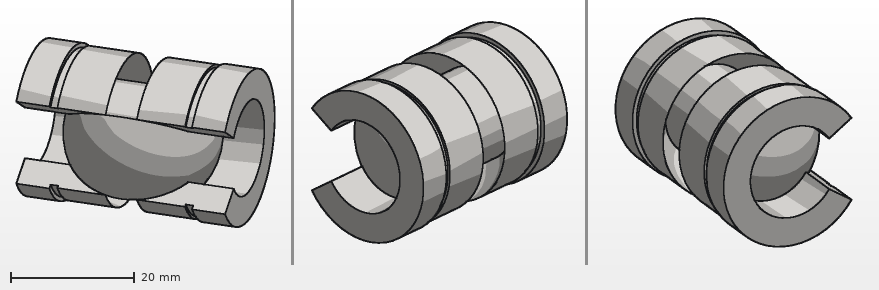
import cadquery as cq
import math

length = 36.0
outer_diameter = 26.0
bore_diameter = 16.0
ball_diameter = outer_diameter

end_band_length = 5.7
groove_width = 1.3
groove_diameter = 24.5
inner_band_diameter = 25.4

gap_width = 5.4

window_half_angle = 34.0

half_length = length / 2
half_gap = gap_width / 2
outer_radius = outer_diameter / 2
bore_radius = bore_diameter / 2
ball_radius = ball_diameter / 2
groove_radius = groove_diameter / 2
inner_band_radius = inner_band_diameter / 2
groove_outer_x = half_length - end_band_length
groove_inner_x = groove_outer_x - groove_width

seat_radius = math.hypot(inner_band_radius, half_gap)
seat_bore_x = math.sqrt(seat_radius**2 - bore_radius**2)


def sweep_behind_window(profile):
    """Revolve a profile at the -Y side about X, from one window wall round to the other."""
    swept = profile.revolve(360 - 2 * window_half_angle, (0, 0, 0), (-1, 0, 0))
    return swept.rotate((0, 0, 0), (-1, 0, 0), window_half_angle)


def sleeve_half():
    """Stepped sleeve on the +X side, from one window wall round to the other."""
    middle_angle = (math.atan2(bore_radius, seat_bore_x) + math.atan2(inner_band_radius, half_gap)) / 2
    seat_middle = (seat_radius * math.cos(middle_angle), -seat_radius * math.sin(middle_angle))
    profile = (
        cq.Workplane("XY")
        .moveTo(half_gap, -inner_band_radius)
        .lineTo(groove_inner_x, -inner_band_radius)
        .lineTo(groove_inner_x, -groove_radius)
        .lineTo(groove_outer_x, -groove_radius)
        .lineTo(groove_outer_x, -outer_radius)
        .lineTo(half_length, -outer_radius)
        .lineTo(half_length, -bore_radius)
        .lineTo(seat_bore_x, -bore_radius)
        .threePointArc(seat_middle, (half_gap, -inner_band_radius))
        .close()
    )
    return sweep_behind_window(profile)


def core():
    """Ball reduced to a bore-sized bar everywhere but in the window sector."""
    ball = cq.Workplane("XY").sphere(ball_radius)
    relief_depth = ball_radius
    relief_profile = (
        cq.Workplane("XY")
        .moveTo(0, -(bore_radius + relief_depth / 2))
        .rect(length, relief_depth)
    )
    return ball.cut(sweep_behind_window(relief_profile))


right_half = sleeve_half()
left_half = right_half.mirror("YZ")
result = core().union(right_half).union(left_half)